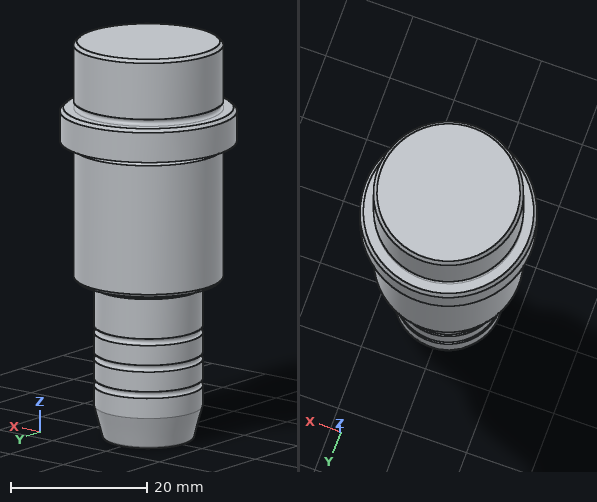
import cadquery as cq
import math

total_length = 60.0
body_bottom = 24.0
collar_bottom = 45.0
collar_top = 50.0

body_radius = 11.0
collar_radius = 13.0
stem_radius = 8.0

edge_chamfer = 0.5
tip_fillet = 0.5
groove_radius = 0.5
groove_width = 2 * groove_radius

neck_length = 1.0
neck_radius = stem_radius - groove_radius
tip_length = 5.0
tip_half_angle = 15.0
tip_radius = stem_radius - tip_length * math.tan(math.radians(tip_half_angle))
stem_groove_count = 3
stem_groove_pitch = 4.0
first_stem_groove = 8.0


def half_profile():
    """Half outline of the part, from the hose end up to the top face.

    The first coordinate is the radius and the second is the height.
    """
    profile = cq.Workplane("XZ").moveTo(0, 0).lineTo(tip_radius, 0)
    profile = add_stem(profile)
    profile = add_lower_body(profile)
    profile = add_collar(profile)
    profile = add_upper_body(profile)
    return profile.lineTo(0, total_length).close()


def add_groove(profile, radius, bottom):
    """Straight run up to a half-round groove, then the groove itself."""
    groove_floor = (radius - groove_radius, bottom + groove_radius)
    groove_top = (radius, bottom + groove_width)
    return profile.lineTo(radius, bottom).threePointArc(groove_floor, groove_top)


def add_stem(profile):
    """Tapered tip, grooved hose stem and the short neck below the body."""
    profile = profile.lineTo(stem_radius, tip_length)
    for index in range(stem_groove_count):
        profile = add_groove(profile, stem_radius, first_stem_groove + index * stem_groove_pitch)
    neck_bottom = body_bottom - neck_length
    return profile.lineTo(stem_radius, neck_bottom).lineTo(neck_radius, neck_bottom)


def add_lower_body(profile):
    """Barrel below the collar: chamfered lower edge and a groove under the collar."""
    profile = (
        profile.lineTo(neck_radius, body_bottom)
        .lineTo(body_radius - edge_chamfer, body_bottom)
        .lineTo(body_radius, body_bottom + edge_chamfer)
    )
    return add_groove(profile, body_radius, collar_bottom - groove_width)


def add_collar(profile):
    """Collar with a sharp lower rim and a chamfered upper rim."""
    return (
        profile.lineTo(collar_radius, collar_bottom)
        .lineTo(collar_radius, collar_top - edge_chamfer)
        .lineTo(collar_radius - edge_chamfer, collar_top)
    )


def add_upper_body(profile):
    """Barrel above the collar: groove at its root and a chamfered top edge."""
    profile = add_groove(profile, body_radius, collar_top)
    return profile.lineTo(body_radius, total_length - edge_chamfer).lineTo(
        body_radius - edge_chamfer, total_length
    )


revolved = half_profile().revolve(360, (0, 0, 0), (0, 1, 0))
result = revolved.faces("<Z").edges().fillet(tip_fillet)